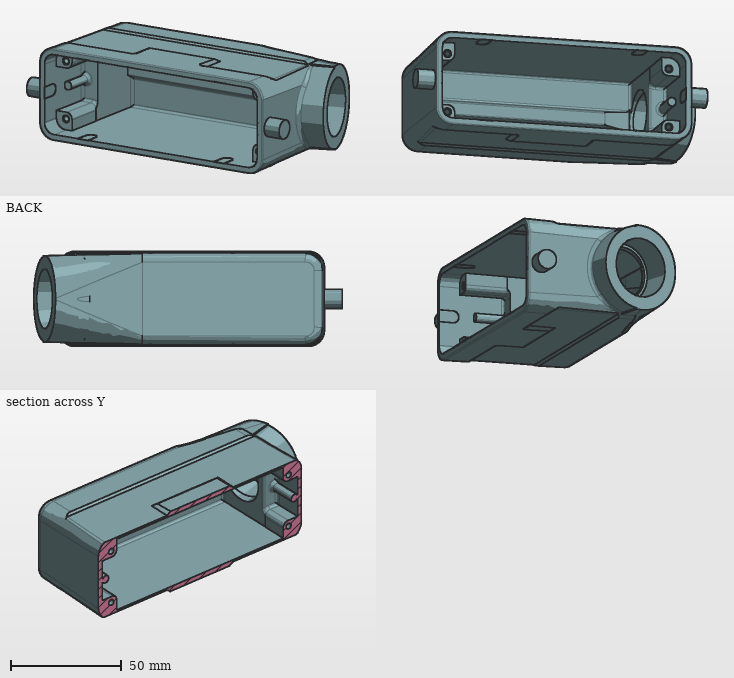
import math

import cadquery as cq


CUT_MARGIN = 1.0
SELECT_MARGIN = 0.1

BODY_HALF_X = 60.0
BODY_HALF_Z = 21.505
BODY_HEIGHT = 62.3
BODY_CORNER_R = 7.5
BODY_DRAFT = 1.0
ROOF_EDGE_R = 3.8
RIM_EDGE_R = 0.6

PIN_DIAMETER = 8.8
PIN_SPAN = 136.0
PIN_Y = 6.1

NECK_TILT = math.radians(15.0)
NECK_RADIUS = 19.15
NECK_TOP_Y = 70.04
NECK_END_X = 71.3
NECK_LENGTH = 16.0
NECK_ROOT_R = 2.0
HUMP_START_X = 22.3
HUMP_START_HALF_Z = 20.45
HUMP_END_HALF_Z = 19.5
HUMP_SKIRT = 2.2
HUMP_END_CROWN = 0.05
HUMP_SECTIONS = 5
CABLE_BORE_D = 24.0
CABLE_BORE_LENGTH = 45.0
THREAD_BORE_D = 26.9
THREAD_DEPTH = 14.0

CAVITY_HALF_X = 57.2
CAVITY_HALF_Z = 18.65
CAVITY_CORNER_R = 5.0
CAVITY_DRAFT = 0.3
CAVITY_FLOOR_Y = 59.0
WELL_HALF_X = 48.8
WELL_DRAFT = 0.5
WELL_FLOOR_FILLET = 1.2
LEDGE_Y = 31.0
LEDGE_FILLET = 1.4
LEDGE_EDGE_R = 1.0

POST_FRONT_Y = 9.7
POST_INNER_X = 48.7
POST_INNER_Z = 10.3
POST_CORNER_R = 3.0
SCREW_X = 52.0
SCREW_Z = 13.5
SCREW_HOLE_D = 2.7
SCREW_MOUTH_D = 3.5
SCREW_DEPTH = 14.0

STUB_X = 55.4
STUB_RADIUS = 2.0
STUB_FRONT_Y = 16.5

RIB_TOP_Y = 55.6
RIB_TOP_HALF_Z = 3.0
RIB_BASE_HALF_Z = 4.6
RIB_TOP_FILLET = 0.6

TONGUE_WIDTH = 5.5
TONGUE_LENGTH = 9.4
TONGUE_DEPTH = 0.15
TONGUE_X = 36.6

PANEL_FLOOR_Z = 19.8
PANEL_BOTTOM_Y = 14.75
PANEL_TOP_Y = 44.7
PANEL_TAB_TOP_Y = 27.7
PANEL_TAB_HALF_X = 19.4
PANEL_WALL_SLOPE = 56.0
PANEL_EDGE_R = 2.1


def cross_plane(y):
    """Plane across the hood at height y, with its normal along +Y."""
    return cq.Plane(origin=(0, y, 0), xDir=(1, 0, 0), normal=(0, 1, 0))


def drafted_block(y_start, y_end, half_x, half_z, radius, draft):
    """Round-cornered block that narrows from y_start to y_end, its corner radius constant."""
    length = y_end - y_start
    inset = length * math.tan(math.radians(draft))

    def section(shrink):
        return cq.Sketch().rect(2 * (half_x - shrink), 2 * (half_z - shrink)).vertices().fillet(radius)

    return (
        cq.Workplane(cross_plane(y_start))
        .placeSketch(section(0), section(inset).moved(cq.Location(cq.Vector(0, 0, length))))
        .loft(ruled=True)
    )


def y_cylinder(x, z, radius, y_start, y_end):
    return cq.Workplane(cross_plane(y_start)).center(x, -z).circle(radius).extrude(y_end - y_start)


NECK_DIR = cq.Vector(math.cos(NECK_TILT), math.sin(NECK_TILT), 0)
NECK_UP = cq.Vector(-math.sin(NECK_TILT), math.cos(NECK_TILT), 0)
NECK_CENTER = cq.Vector(
    NECK_END_X - NECK_RADIUS * math.sin(NECK_TILT),
    NECK_TOP_Y - NECK_RADIUS * math.cos(NECK_TILT),
    0,
)
NECK_TOP = NECK_CENTER + NECK_UP * NECK_RADIUS


def neck_cylinder(radius, length):
    """Cylinder on the neck axis, running inward from the neck mouth."""
    return cq.Workplane(cq.Plane(NECK_CENTER, (0, 0, 1), NECK_DIR * -1)).circle(radius).extrude(length)


def hump_section(top, tilt, half_z, radius):
    """Arched wire below the point top: two sides, two round corners and a flat crown."""
    plane = cq.Plane(top, (0, 0, -1), (math.cos(tilt), math.sin(tilt), 0))
    flat = half_z - radius
    diagonal = radius * math.sqrt(0.5)
    side_end = -NECK_RADIUS - HUMP_SKIRT
    return (
        cq.Workplane(plane)
        .moveTo(-half_z, side_end)
        .lineTo(-half_z, -radius)
        .threePointArc((-flat - diagonal, diagonal - radius), (-flat, 0))
        .lineTo(flat, 0)
        .threePointArc((flat + diagonal, diagonal - radius), (half_z, -radius))
        .lineTo(half_z, side_end)
        .close()
        .wire()
        .val()
    )


def make_hump():
    """Roof hump: a box edge that turns into the round neck along an arc and a straight line."""
    slope = math.tan(NECK_TILT)
    line_at_start = NECK_TOP.y - (NECK_TOP.x - HUMP_START_X) * slope
    bend_r = (BODY_HEIGHT - line_at_start) / (1 / math.cos(NECK_TILT) - 1)
    arc_length = bend_r * NECK_TILT
    arc_end = cq.Vector(
        HUMP_START_X + bend_r * math.sin(NECK_TILT),
        BODY_HEIGHT + bend_r * (1 - math.cos(NECK_TILT)),
        0,
    )
    straight = (NECK_TOP - arc_end).Length
    total = arc_length + straight

    def section_at(distance):
        tilt = min(distance / bend_r, NECK_TILT)
        if distance < arc_length:
            rise = bend_r * (1 - math.cos(tilt))
            top = cq.Vector(HUMP_START_X + bend_r * math.sin(tilt), BODY_HEIGHT + rise, 0)
        else:
            top = arc_end + NECK_DIR * (distance - arc_length)
        share = distance / total
        half_z = HUMP_START_HALF_Z + share * (HUMP_END_HALF_Z - HUMP_START_HALF_Z)
        end_radius = NECK_RADIUS - HUMP_END_CROWN
        radius = ROOF_EDGE_R + share * (end_radius - ROOF_EDGE_R)
        return hump_section(top, tilt, half_z, radius)

    wires = [section_at(total * i / (HUMP_SECTIONS - 1)) for i in range(HUMP_SECTIONS)]
    return cq.Workplane(cq.Solid.makeLoft(wires))


def hump_clearance():
    """Part of the box above the shoulders of the hump, which the hump replaces."""
    roof = BODY_HEIGHT + CUT_MARGIN
    return (
        cq.Workplane("XY", origin=(0, 0, -BODY_HALF_Z))
        .moveTo(HUMP_START_X, roof)
        .lineTo(HUMP_START_X, BODY_HEIGHT - ROOF_EDGE_R)
        .lineTo(NECK_CENTER.x, NECK_CENTER.y)
        .lineTo(NECK_CENTER.x, roof)
        .close()
        .extrude(2 * BODY_HALF_Z)
    )


def make_shell():
    body = drafted_block(0, BODY_HEIGHT, BODY_HALF_X, BODY_HALF_Z, BODY_CORNER_R, BODY_DRAFT)
    body = body.faces(">Y").edges().fillet(ROOF_EDGE_R)
    body = body.faces("<Y").edges().fillet(RIM_EDGE_R)
    shell = body.cut(hump_clearance()).union(make_hump()).union(neck_cylinder(NECK_RADIUS, NECK_LENGTH))
    underside = cq.selectors.BoxSelector(
        (POST_INNER_X, 0, -HUMP_END_HALF_Z),
        (BODY_HALF_X, NECK_CENTER.y - NECK_RADIUS / 2, HUMP_END_HALF_Z),
    )
    return shell.edges(underside).fillet(NECK_ROOT_R)


def make_pins():
    return cq.Workplane("YZ", origin=(-PIN_SPAN / 2, PIN_Y, 0)).circle(PIN_DIAMETER / 2).extrude(PIN_SPAN)


def panel_cutter():
    """Cutter for the +Z panel: a tabbed floor whose walls slope outward."""
    x_end = BODY_HALF_X + CUT_MARGIN
    floor = [
        (-x_end, PANEL_TOP_Y),
        (-x_end, PANEL_BOTTOM_Y),
        (-PANEL_TAB_HALF_X, PANEL_BOTTOM_Y),
        (-PANEL_TAB_HALF_X, PANEL_TAB_TOP_Y),
        (PANEL_TAB_HALF_X, PANEL_TAB_TOP_Y),
        (PANEL_TAB_HALF_X, PANEL_BOTTOM_Y),
        (x_end, PANEL_BOTTOM_Y),
        (x_end, PANEL_TOP_Y),
    ]
    depth = BODY_HALF_Z - PANEL_FLOOR_Z
    return (
        cq.Workplane("XY", origin=(0, 0, PANEL_FLOOR_Z))
        .polyline(floor)
        .close()
        .extrude(depth, taper=-PANEL_WALL_SLOPE)
    )


def make_post(side_x, side_z):
    """Corner post standing on an end ledge, with its inner corner rounded."""
    size_x = BODY_HALF_X - POST_INNER_X
    size_z = BODY_HALF_Z - POST_INNER_Z
    center_x = side_x * (POST_INNER_X + size_x / 2)
    center_z = side_z * (POST_INNER_Z + size_z / 2)
    inner_corner = cq.Vector(side_x * POST_INNER_X, POST_FRONT_Y, side_z * POST_INNER_Z)
    post = (
        cq.Workplane(cross_plane(POST_FRONT_Y))
        .center(center_x, -center_z)
        .rect(size_x, size_z)
        .extrude(LEDGE_Y - POST_FRONT_Y)
    )
    return post.edges("|Y").edges(cq.selectors.NearestToPointSelector(inner_corner)).fillet(POST_CORNER_R)


def make_screw_hole(side_x, side_z):
    x = side_x * SCREW_X
    z = side_z * SCREW_Z
    mouth_depth = (SCREW_MOUTH_D - SCREW_HOLE_D) / 2
    mouth = cq.Solid.makeCone(
        SCREW_MOUTH_D / 2,
        SCREW_HOLE_D / 2,
        mouth_depth,
        cq.Vector(x, POST_FRONT_Y, z),
        cq.Vector(0, 1, 0),
    )
    return y_cylinder(x, z, SCREW_HOLE_D / 2, POST_FRONT_Y, POST_FRONT_Y + SCREW_DEPTH).union(
        cq.Workplane(mouth)
    )


def make_stub(side_x):
    """Round stub on an end ledge, half buried in the end wall."""
    return y_cylinder(side_x * STUB_X, 0, STUB_RADIUS, STUB_FRONT_Y, LEDGE_Y)


def make_rib():
    """Trapezoidal rib along the middle of the cavity roof."""
    return (
        cq.Workplane("YZ", origin=(-BODY_HALF_X, 0, 0))
        .moveTo(CAVITY_FLOOR_Y, -RIB_BASE_HALF_Z)
        .lineTo(RIB_TOP_Y, -RIB_TOP_HALF_Z)
        .lineTo(RIB_TOP_Y, RIB_TOP_HALF_Z)
        .lineTo(CAVITY_FLOOR_Y, RIB_BASE_HALF_Z)
        .close()
        .extrude(2 * BODY_HALF_X)
        .faces("<Y")
        .edges("|X")
        .fillet(RIB_TOP_FILLET)
    )


def make_rib_ramp():
    """Wedge that slopes the neck end of the rib, along the top of the cable bore."""
    slope = math.tan(NECK_TILT)
    bore_top = NECK_CENTER + NECK_UP * (CABLE_BORE_D / 2)
    start_x = bore_top.x - (bore_top.y - RIB_TOP_Y) / slope
    end_x = bore_top.x - (bore_top.y - CAVITY_FLOOR_Y) / slope
    half_width = RIB_BASE_HALF_Z + WELL_FLOOR_FILLET
    return (
        cq.Workplane("XY", origin=(0, 0, -half_width))
        .moveTo(start_x, RIB_TOP_Y)
        .lineTo(end_x, CAVITY_FLOOR_Y)
        .lineTo(end_x, RIB_TOP_Y)
        .close()
        .extrude(2 * half_width)
    )


def cavity_mouth(outer):
    """Full-width part of the cavity, from the rim to the end ledges."""
    zone = cq.Workplane("XY").box(2 * BODY_HALF_X, LEDGE_Y, 2 * BODY_HALF_Z, centered=(True, False, True))
    mouth = outer.intersect(zone)
    for side_x in (-1, 1):
        mouth = mouth.cut(make_stub(side_x))
        for side_z in (-1, 1):
            mouth = mouth.cut(make_post(side_x, side_z))
    return mouth.faces(">Y").edges().fillet(LEDGE_FILLET)


def cavity_well(outer):
    """Narrower part of the cavity, between the end ledges and down to the roof."""
    start_y = LEDGE_Y - LEDGE_FILLET
    zone = (
        cq.Workplane(cross_plane(start_y))
        .rect(2 * WELL_HALF_X, 2 * BODY_HALF_Z)
        .extrude(CAVITY_FLOOR_Y - start_y, taper=WELL_DRAFT)
    )
    well = outer.intersect(zone).cut(make_rib())
    return well.faces(">Y").edges().fillet(WELL_FLOOR_FILLET).union(make_rib_ramp())


def cut_panels(hood):
    """Recess both side panels and soften the edges where they run out at the round corners."""
    panel = panel_cutter()
    hood = hood.cut(panel).cut(panel.mirror("XY"))
    middle_y = (PANEL_BOTTOM_Y + PANEL_TOP_Y) / 2
    for side_x in (-1, 1):
        for side_z in (-1, 1):
            run_out = cq.Vector(side_x * BODY_HALF_X, middle_y, side_z * PANEL_FLOOR_Z)
            on_floor = cq.selectors.BoxSelector(
                (side_x * WELL_HALF_X, 0, side_z * (PANEL_FLOOR_Z - SELECT_MARGIN)),
                (side_x * BODY_HALF_X, BODY_HEIGHT, side_z * (PANEL_FLOOR_Z + SELECT_MARGIN)),
            )
            edge = hood.edges(on_floor).edges(cq.selectors.NearestToPointSelector(run_out))
            hood = edge.fillet(PANEL_EDGE_R)
    return hood


def make_cavity():
    outer = drafted_block(0, CAVITY_FLOOR_Y, CAVITY_HALF_X, CAVITY_HALF_Z, CAVITY_CORNER_R, CAVITY_DRAFT)
    return cavity_mouth(outer).union(cavity_well(outer))


def tongue_profile(plane):
    """U-shaped recess outline that starts at the rim and ends in a half circle."""
    half = TONGUE_WIDTH / 2
    straight = TONGUE_LENGTH - half
    return (
        cq.Workplane(plane)
        .moveTo(-half, 0)
        .lineTo(-half, straight)
        .threePointArc((0, TONGUE_LENGTH), (half, straight))
        .lineTo(half, 0)
        .close()
        .extrude(TONGUE_DEPTH)
    )


def make_tongues():
    tongues = cq.Workplane()
    for side in (-1, 1):
        end_plane = cq.Plane((side * CAVITY_HALF_X, 0, 0), (0, 0, -side), (side, 0, 0))
        tongues = tongues.add(tongue_profile(end_plane))
        for x in (-TONGUE_X, TONGUE_X):
            wall_plane = cq.Plane((x, 0, side * CAVITY_HALF_Z), (side, 0, 0), (0, 0, side))
            tongues = tongues.add(tongue_profile(wall_plane))
    return tongues


def make_hood():
    hood = cut_panels(make_shell())
    hood = hood.union(make_pins())
    hood = hood.cut(make_cavity())
    neck_side_ledge = cq.selectors.NearestToPointSelector((WELL_HALF_X, LEDGE_Y, 0))
    hood = hood.edges(neck_side_ledge).fillet(LEDGE_EDGE_R)
    for side_x in (-1, 1):
        for side_z in (-1, 1):
            hood = hood.cut(make_screw_hole(side_x, side_z))
    for tongue in make_tongues().vals():
        hood = hood.cut(cq.Workplane(tongue))
    hood = hood.cut(neck_cylinder(CABLE_BORE_D / 2, CABLE_BORE_LENGTH))
    return hood.cut(neck_cylinder(THREAD_BORE_D / 2, THREAD_DEPTH))


result = make_hood()